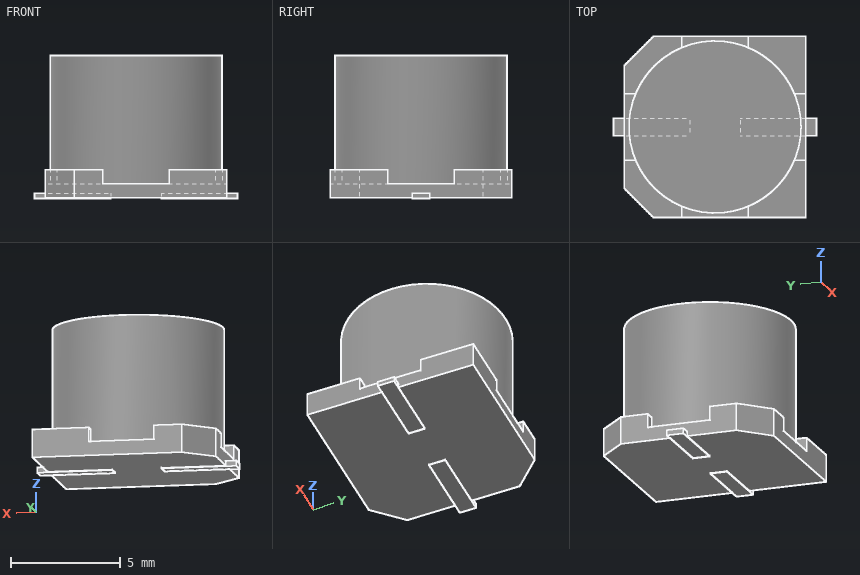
import cadquery as cq

lead_span = 9.3
lead_gap = 2.3
lead_width = 0.82
lead_thickness = 0.25
lead_drop = 0.03

base_side = 8.31
base_bottom = lead_drop
base_top = 1.33
base_chamfer = 1.34
channel_floor = 0.68
channel_width = 3.03

can_diameter = 7.89
can_top = 6.56

lead_length = (lead_span - lead_gap) / 2
lead_center_x = (lead_span + lead_gap) / 4


def make_can():
    """Plain cylinder standing on the channel floor of the base."""
    return (
        cq.Workplane("XY", origin=(0, 0, channel_floor))
        .circle(can_diameter / 2)
        .extrude(can_top - channel_floor)
    )


def make_lead(side):
    """Flat lead on the -X (side = -1) or +X (side = 1) side."""
    return (
        cq.Workplane("XY", origin=(side * lead_center_x, 0, 0))
        .rect(lead_length, lead_width)
        .extrude(lead_thickness)
    )


def make_base(can, leads):
    """Chamfered plate with crossing channels, a seat for the can and slots for the leads."""
    base = (
        cq.Workplane("XY", origin=(0, 0, base_bottom))
        .rect(base_side, base_side)
        .extrude(base_top - base_bottom)
        .edges("|Z and <X")
        .chamfer(base_chamfer)
    )
    channels = (
        cq.Workplane("XY", origin=(0, 0, channel_floor))
        .rect(base_side, channel_width)
        .extrude(base_top - channel_floor)
        .union(
            cq.Workplane("XY", origin=(0, 0, channel_floor))
            .rect(channel_width, base_side)
            .extrude(base_top - channel_floor)
        )
    )
    base = base.cut(channels).cut(can)
    for lead in leads:
        base = base.cut(lead)
    return base


can = make_can()
leads = [make_lead(side) for side in (-1, 1)]
base = make_base(can, leads)

result = cq.Compound.makeCompound([base.val(), can.val(), *[lead.val() for lead in leads]])